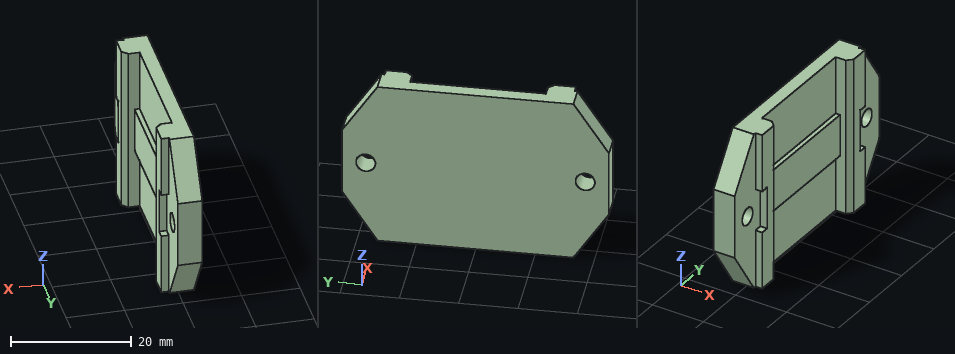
import cadquery as cq

length = 45.0
height = 30.0
plate_thickness = 4.2
corner_length = 6.0
corner_height = 9.0

hole_diameter = 3.25
hole_spacing = 37.0

total_depth = 5.5
pad_outer_y = 16.0
pad_inner_y = 11.45
pad_chamfer = 1.0

recess_floor = 2.55
rib_top = 3.4
rib_height = 8.0

clearance_size = 8.0


def make_plate():
    """Plate with its four corners cut off at a slant."""
    end_y = length / 2
    top_z = height / 2
    slant_y = end_y - corner_length
    slant_z = top_z - corner_height
    outline = [
        (-end_y, -slant_z),
        (-slant_y, -top_z),
        (slant_y, -top_z),
        (end_y, -slant_z),
        (end_y, slant_z),
        (slant_y, top_z),
        (-slant_y, top_z),
        (-end_y, slant_z),
    ]
    return cq.Workplane("YZ").polyline(outline).close().extrude(plate_thickness)


def make_pad():
    """Pad on the +Y half, chamfered along its inner back edge."""
    profile = [
        (recess_floor, pad_inner_y),
        (total_depth - pad_chamfer, pad_inner_y),
        (total_depth, pad_inner_y + pad_chamfer),
        (total_depth, pad_outer_y),
        (recess_floor, pad_outer_y),
    ]
    return cq.Workplane("XY").polyline(profile).close().extrude(height / 2, both=True)


def block(x_start, x_end, size_y, size_z):
    """Block between two depths, centred on the X axis."""
    return cq.Workplane("YZ", origin=(x_start, 0, 0)).rect(size_y, size_z).extrude(x_end - x_start)


recess = block(recess_floor, total_depth, 2 * pad_inner_y, height)
rib = block(recess_floor, rib_top, 2 * pad_inner_y, rib_height)
pad = make_pad()
result = make_plate().cut(recess).union(rib).union(pad).union(pad.mirror("XZ"))

clearance = block(plate_thickness, total_depth, clearance_size, clearance_size)
hole = cq.Workplane("YZ").circle(hole_diameter / 2).extrude(plate_thickness)
for hole_y in (-hole_spacing / 2, hole_spacing / 2):
    result = result.cut(clearance.translate((0, hole_y, 0)))
    result = result.cut(hole.translate((0, hole_y, 0)))